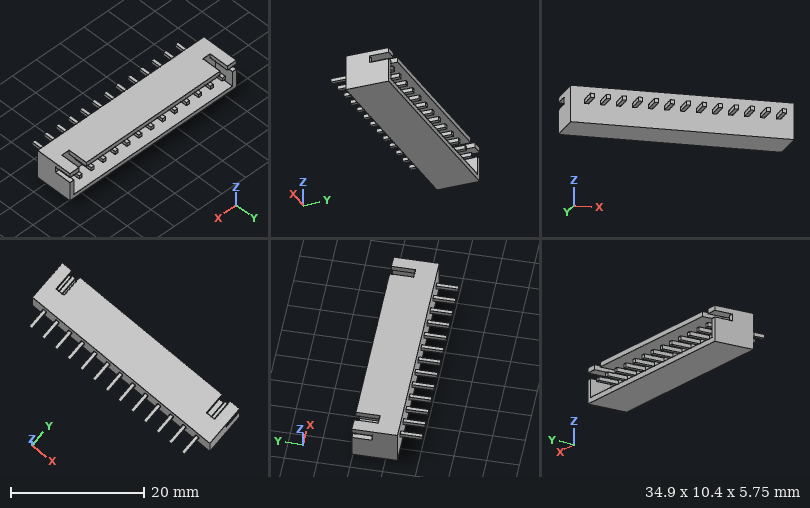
import cadquery as cq

housing_length = 34.9
housing_depth = 7.0
housing_height = 5.75

wall_thickness = 0.85
cavity_depth = 3.7

key_slot_width = 1.5
key_slot_inset = 1.92

notch_depth = 3.15
notch_height = 1.05

pin_count = 13
pin_row_span = 29.98
pin_pitch = pin_row_span / (pin_count - 1)
pin_width = 0.63
pin_axis_z = 3.35
pin_tail = 3.4
pin_setback = 0.2

mouth_y = housing_depth
cavity_top = housing_height - wall_thickness


def box(x_size, y_start, y_end, z_start, z_end, x_center=0.0):
    """Axis-aligned box centred on x_center and spanning the given Y and Z ranges."""
    return (
        cq.Workplane("XY")
        .box(x_size, y_end - y_start, z_end - z_start, centered=(True, False, False))
        .translate((x_center, y_start, z_start))
    )


def make_housing():
    """Open-mouthed shell with notched end walls and two keying slots."""
    shell = box(housing_length, 0, mouth_y, 0, housing_height)
    cavity_length = housing_length - 2 * wall_thickness
    cavity_floor_y = mouth_y - cavity_depth
    shell = shell.cut(box(cavity_length, cavity_floor_y, mouth_y, wall_thickness, cavity_top))

    notch_bottom = cavity_top - notch_height
    shell = shell.cut(box(housing_length, mouth_y - notch_depth, mouth_y, notch_bottom, cavity_top))

    key_slot_x = housing_length / 2 - key_slot_inset - key_slot_width / 2
    for side in (-1, 1):
        key_slot = box(
            key_slot_width, cavity_floor_y, mouth_y, cavity_top, housing_height, side * key_slot_x
        )
        shell = shell.cut(key_slot)
    return shell


def make_pin(x_center):
    """Straight pin running from its tail through the cavity floor towards the mouth."""
    return box(
        pin_width,
        -pin_tail,
        mouth_y - pin_setback,
        pin_axis_z - pin_width / 2,
        pin_axis_z + pin_width / 2,
        x_center,
    )


result = make_housing()
first_pin_x = -pin_row_span / 2
for index in range(pin_count):
    result = result.union(make_pin(first_pin_x + index * pin_pitch))